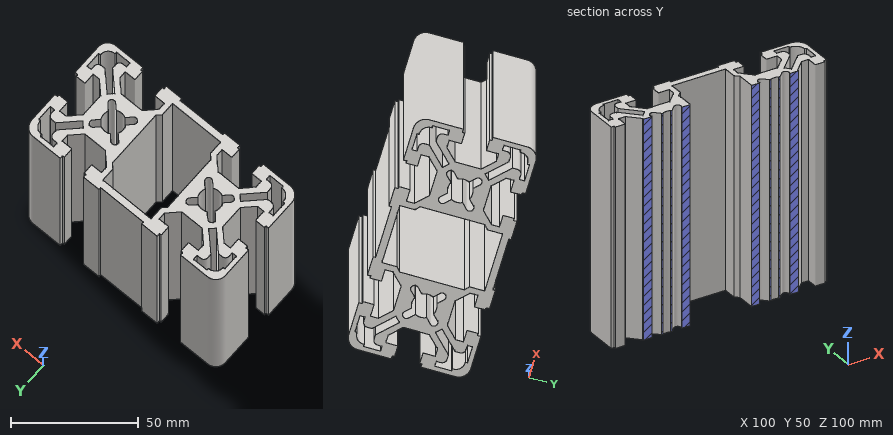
import cadquery as cq
import math

width = 100.0
depth = 50.0
length = 100.0
corner_radius = 5.0

cell_half = depth / 2
cell_center_x = width / 2 - cell_half

mouth_half = 5.1
rebate_half = 6.0
rebate_depth = 1.4
lip_thickness = 6.0
lip_radius = 0.3
channel_half = 10.1
floor_half = 5.3
core_half = 11.0
channel_shoulder = core_half + channel_half - floor_half

bore_radius = 5.0
relief_width = 3.1
relief_reach = 5.6

outer_wall = 2.0
hollow_outer = cell_half - outer_wall
hollow_end = 11.1
bead_outer = 20.9
bead_inner = 14.9
bead_radius = 2.0
web_gap = 3.0
web_gap_end = 8.4
scallop_start = 18.0
scallop_outer = 22.1
scallop_middle = 21.0

chamber_core_half = 14.2
chamber_end_half = 12.4
chamber_half_depth = 21.0
chamber_step = 13.2
chamber_step_rise = 1.6
recess_half = 11.0
recess_depth = 1.0


def prism(points):
    """Extrude a closed polygon over the full length."""
    return cq.Workplane("XY").polyline(points).close().extrude(length)


def t_slot():
    """T-slot opening towards +Y, centred on the cell axis."""
    half = [
        (rebate_half, cell_half),
        (rebate_half, cell_half - rebate_depth),
        (mouth_half, cell_half - rebate_depth),
        (mouth_half, cell_half - lip_thickness),
        (channel_half, cell_half - lip_thickness),
        (channel_half, channel_shoulder),
        (floor_half, core_half),
    ]
    slot = prism(half + [(-x, y) for x, y in reversed(half)])
    lip_y = cell_half - lip_thickness
    for x in (-mouth_half, mouth_half):
        lip_edge = cq.selectors.NearestToPointSelector((x, lip_y, length / 2))
        slot = slot.edges("|Z").edges(lip_edge).fillet(lip_radius)
    return slot


def screw_hole():
    """Round bore crossed by two diagonal round-ended slots."""
    bore = cq.Workplane("XY").circle(bore_radius).extrude(length)
    slot_length = 2 * math.hypot(relief_reach, relief_reach) + relief_width
    for angle in (45, -45):
        slot = cq.Workplane("XY").slot2D(slot_length, relief_width, angle).extrude(length)
        bore = bore.union(slot)
    return bore


def corner_hollow():
    """Hollow in the +X +Y corner, symmetric about the cell diagonal."""
    offset = web_gap / math.sqrt(2)
    arc_inset = bead_radius * (1 - math.sqrt(0.5))
    arc_outer = bead_outer - arc_inset
    arc_inner = bead_inner - arc_inset
    return (
        cq.Workplane("XY")
        .moveTo(web_gap_end + offset / 2, web_gap_end - offset / 2)
        .lineTo(bead_inner + offset, bead_inner)
        .lineTo(bead_outer - bead_radius, bead_inner)
        .threePointArc((arc_outer, arc_inner), (bead_outer, bead_inner - bead_radius))
        .lineTo(bead_outer, hollow_end)
        .lineTo(hollow_outer, hollow_end)
        .lineTo(hollow_outer, scallop_start)
        .lineTo(scallop_outer, scallop_start)
        .threePointArc((scallop_middle, scallop_middle), (scallop_start, scallop_outer))
        .lineTo(scallop_start, hollow_outer)
        .lineTo(hollow_end, hollow_outer)
        .lineTo(hollow_end, bead_outer)
        .lineTo(bead_inner - bead_radius, bead_outer)
        .threePointArc((arc_inner, arc_outer), (bead_inner, bead_outer - bead_radius))
        .lineTo(bead_inner, bead_inner + offset)
        .lineTo(web_gap_end - offset / 2, web_gap_end + offset / 2)
        .close()
        .extrude(length)
    )


def chamber():
    """Central chamber, narrower beside its long walls than beside the cell cores."""
    quarter = [
        (chamber_core_half, chamber_step),
        (chamber_end_half, chamber_step + chamber_step_rise),
        (chamber_end_half, chamber_half_depth),
    ]
    right = [(x, -y) for x, y in reversed(quarter)] + quarter
    return prism(right + [(-x, -y) for x, y in right])


def end_cell_cuts():
    """All cuts of the +X end cell, placed at its centre."""
    cuts = screw_hole()
    slot = t_slot()
    for angle in (0, -90, 180):
        cuts = cuts.union(slot.rotate((0, 0, 0), (0, 0, 1), angle))
    hollow = corner_hollow()
    cuts = cuts.union(hollow).union(hollow.mirror("XZ"))
    return cuts.translate((cell_center_x, 0, 0))


body = (
    cq.Workplane("XY")
    .rect(width, depth)
    .extrude(length)
    .edges("|Z")
    .fillet(corner_radius)
)
cell_cuts = end_cell_cuts()
result = body.cut(cell_cuts).cut(cell_cuts.mirror("YZ")).cut(chamber())
for side in (-1, 1):
    recess = cq.Workplane("XY").center(0, side * (cell_half - recess_depth / 2))
    result = result.cut(recess.rect(2 * recess_half, recess_depth).extrude(length))